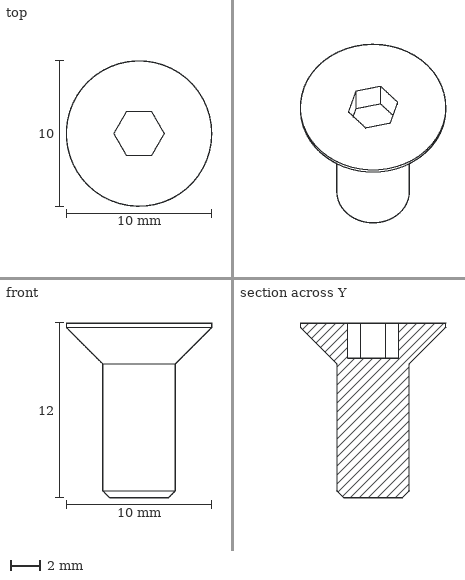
import cadquery as cq
import math

length = 12.0
head_diameter = 10.0
shank_diameter = head_diameter / 2
rim_height = 0.3
tip_chamfer = 0.49
socket_across_flats = 3.0
socket_depth = 2.4

head_radius = head_diameter / 2
shank_radius = shank_diameter / 2
rim_bottom = length - rim_height
cone_bottom = rim_bottom - (head_radius - shank_radius)


def screw_body():
    """Revolve the half profile of tip, shank, countersink and rim."""
    return (
        cq.Workplane("XZ")
        .lineTo(shank_radius - tip_chamfer, 0)
        .lineTo(shank_radius, tip_chamfer)
        .lineTo(shank_radius, cone_bottom)
        .lineTo(head_radius, rim_bottom)
        .lineTo(head_radius, length)
        .lineTo(0, length)
        .close()
        .revolve(360, (0, 0), (0, 1))
    )


def hex_socket():
    """Flat-bottomed hexagon with two corners on the X axis."""
    across_corners = socket_across_flats / math.cos(math.pi / 6)
    return (
        cq.Workplane("XY")
        .workplane(offset=length - socket_depth)
        .polygon(6, across_corners)
        .extrude(socket_depth)
    )


result = screw_body().cut(hex_socket())